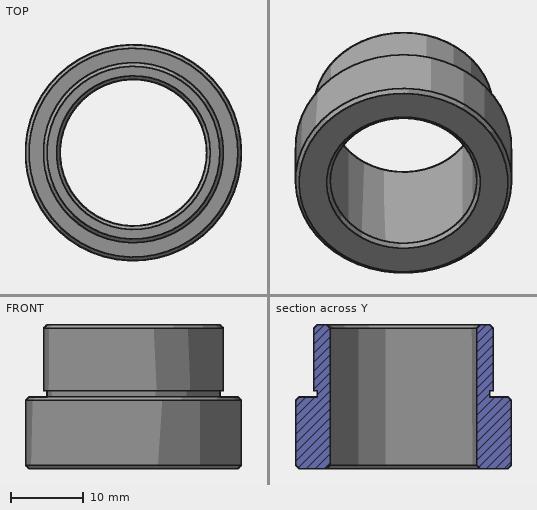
import cadquery as cq

collar_diameter = 30.0
collar_height = 10.0
total_height = 20.0
spigot_diameter = 25.0
groove_diameter = 24.1
groove_width = 0.8
bore_diameter = 20.3
edge_chamfer = 0.5

spigot_height = total_height - collar_height


def cylinder(diameter, height, base_z):
    """Solid cylinder on the Z axis, standing on base_z."""
    return cq.Workplane("XY").workplane(offset=base_z).circle(diameter / 2).extrude(height)


collar = cylinder(collar_diameter, collar_height, 0).faces("<Z or >Z").edges().chamfer(edge_chamfer)

groove_core = cylinder(groove_diameter, groove_width, collar_height)

spigot = cylinder(spigot_diameter, spigot_height - groove_width, collar_height + groove_width)
spigot = spigot.faces(">Z").edges().chamfer(edge_chamfer)

body = collar.union(groove_core).union(spigot)
bored = body.cut(cylinder(bore_diameter, total_height, 0))
bore_mouths = bored.faces("<Z or >Z").edges(cq.selectors.RadiusNthSelector(0))
result = bore_mouths.chamfer(edge_chamfer)